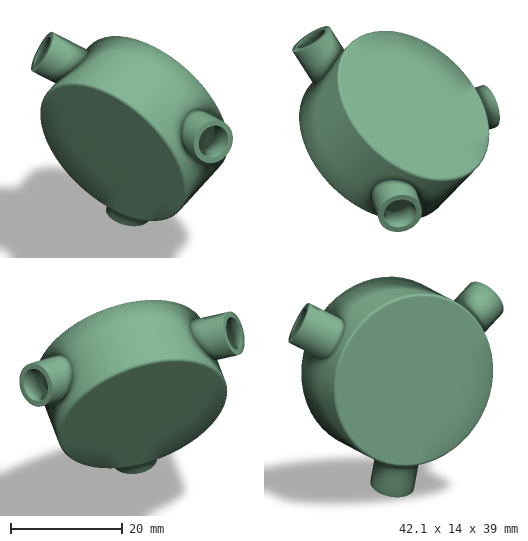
import cadquery as cq
import math

body_diameter = 32.0
body_thickness = 14.0
edge_radius = 0.5

spout_count = 3
spout_outer_diameter = 8.0
spout_bore_diameter = 6.0
spout_length = 6.0
bore_depth = 5.0
spout_tilt = 20.0

body_radius = body_diameter / 2
spout_root = 4.2
tilt = math.radians(spout_tilt)


def make_body():
    disc = cq.Workplane("XZ", origin=(0, body_thickness / 2, 0)).circle(body_radius).extrude(body_thickness)
    return disc.edges("%CIRCLE").fillet(edge_radius)


def spout_cylinder(diameter, start, end, turn):
    """Cylinder on a spout axis; start and end are distances from the rim."""
    direction = cq.Vector(0, -math.sin(tilt), -math.cos(tilt))
    rim_point = cq.Vector(0, 0, -body_radius)
    cylinder = cq.Solid.makeCylinder(
        diameter / 2, end - start, rim_point + direction * start, direction
    )
    return cylinder.rotate(cq.Vector(0, 0, 0), cq.Vector(0, 1, 0), turn)


turns = [i * 360 / spout_count for i in range(spout_count)]
result = make_body()
for turn in turns:
    spout = spout_cylinder(spout_outer_diameter, -spout_root, spout_length, turn)
    result = result.union(cq.Workplane(spout))

for turn in turns:
    bore = spout_cylinder(spout_bore_diameter, spout_length - bore_depth, spout_length, turn)
    result = result.cut(cq.Workplane(bore))